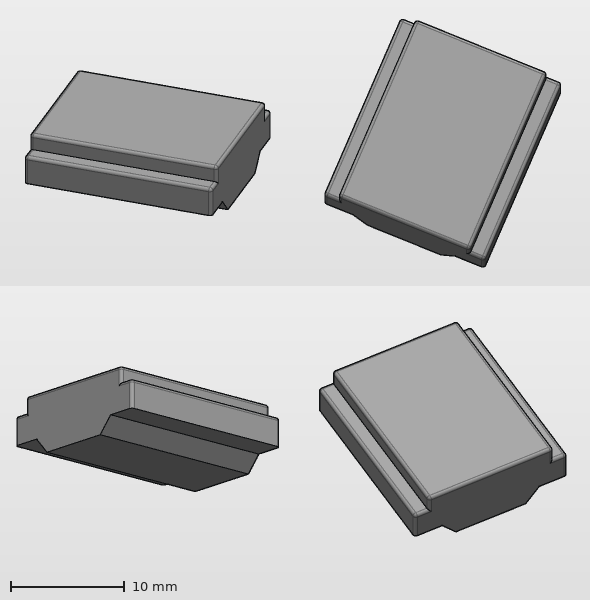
import cadquery as cq

length = 17.5
flange_width = 15.3
height = 5.72

top_width = 12.5
keel_top_width = 9.73
keel_bottom_width = 7.0
keel_height = 1.52
step_height = 1.5
edge_radius = 0.3

flange_top = height - step_height


def rounded_block(width, bottom, top):
    """Full-length block with its upright and top edges rounded; its underside stays sharp."""
    block = (
        cq.Workplane("XY")
        .workplane(offset=bottom)
        .rect(length, width)
        .extrude(top - bottom)
    )
    return block.edges("|Z or >Z").fillet(edge_radius)


def keel():
    """Full-length trapezoidal ridge with sharp edges under the flange."""
    half_bottom = keel_bottom_width / 2
    half_top = keel_top_width / 2
    return (
        cq.Workplane("YZ")
        .polyline([
            (-half_bottom, 0),
            (half_bottom, 0),
            (half_top, keel_height),
            (-half_top, keel_height),
        ])
        .close()
        .extrude(length / 2, both=True)
    )


flange = rounded_block(flange_width, keel_height, flange_top)
raised_top = rounded_block(top_width, keel_height, height)
result = flange.union(raised_top).union(keel())